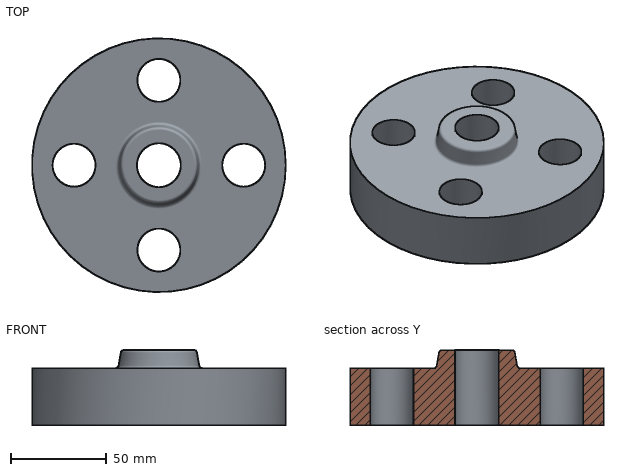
import cadquery as cq
import math

disc_radius = 66.7
disc_height = 30.1
total_height = 39.6

hub_height = total_height - disc_height
hub_root_radius = 21.5
hub_taper = 10.0
hub_top_radius = hub_root_radius - hub_height * math.tan(math.radians(hub_taper))
hub_fillet = 1.6

bore_radius = 11.5
bolt_hole_radius = 11.2
bolt_circle_radius = 44.5
bolt_count = 4


def make_body():
    """Revolve the solid profile of the disc and its hub, then round the hub edges."""
    profile = [
        (0, 0),
        (disc_radius, 0),
        (disc_radius, disc_height),
        (hub_root_radius, disc_height),
        (hub_top_radius, total_height),
        (0, total_height),
    ]
    body = cq.Workplane("XZ").polyline(profile).close().revolve(360, (0, 0), (0, 1))
    return body.faces("%CONE").edges("%CIRCLE").fillet(hub_fillet)


def make_holes():
    """Central bore and ring of bolt holes, running the full height."""
    bore = cq.Workplane("XY").circle(bore_radius).extrude(total_height)
    bolt_holes = (
        cq.Workplane("XY")
        .polarArray(bolt_circle_radius, 0, 360, bolt_count)
        .circle(bolt_hole_radius)
        .extrude(total_height)
    )
    return bore.union(bolt_holes)


result = make_body().cut(make_holes())